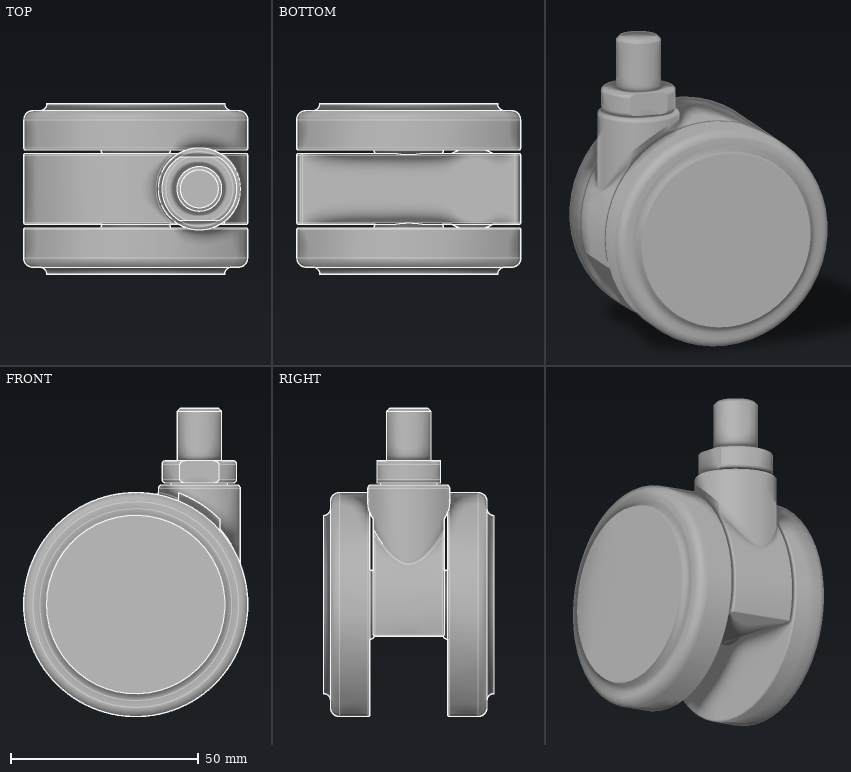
import cadquery as cq


wheel_diameter = 60.0
wheel_radius = wheel_diameter / 2
wheel_inner_y = 10.4
wheel_outer_y = 20.95
tread_round = 2.5
inner_edge_round = 0.5
disc_radius = 23.85
overall_width = 45.6
disc_face_y = overall_width / 2
disc_flare = 1.8

hair = 0.1

arc_mid_offset = 1 - 0.5 ** 0.5

housing_half_width = 9.5
housing_bottom_z = -8.5
housing_edge_round = 0.5
hub_radius = 9.3
hub_round = 1.3
swivel_x = 17.0
column_radius = 11.0
clearance_radius = 32.0
column_top_z = 32.0
column_top_round = 1.0
column_root_round = 0.5

neck_radius = 7.6
collar_radius = 10.0
collar_height = 6.0
collar_edge_round = 1.0
collar_across_flats = 17.0
stud_diameter = 12.0
stud_length = 14.0
stud_chamfer = 0.9
overall_height = 82.5
stem_top_z = overall_height - wheel_radius


def y_cylinder(radius, half_length):
    """Cylinder on the wheel axis, centred on Y = 0."""
    return cq.Workplane("XZ").circle(radius).extrude(half_length, both=True)


def make_wheel():
    """Wheel on the +Y side: tread with rounded shoulder and a flared raised disc."""
    flare_radius = disc_radius + disc_flare
    inner_mid = inner_edge_round * arc_mid_offset
    shoulder_mid = tread_round * arc_mid_offset
    flare_mid = disc_flare * arc_mid_offset
    profile = (
        cq.Workplane("XY")
        .moveTo(0, wheel_inner_y)
        .lineTo(wheel_radius - inner_edge_round, wheel_inner_y)
        .threePointArc(
            (wheel_radius - inner_mid, wheel_inner_y + inner_mid),
            (wheel_radius, wheel_inner_y + inner_edge_round),
        )
        .lineTo(wheel_radius, wheel_outer_y - tread_round)
        .threePointArc(
            (wheel_radius - shoulder_mid, wheel_outer_y - shoulder_mid),
            (wheel_radius - tread_round, wheel_outer_y),
        )
        .lineTo(flare_radius, wheel_outer_y)
        .threePointArc(
            (disc_radius + flare_mid, wheel_outer_y + flare_mid),
            (disc_radius, disc_face_y),
        )
        .lineTo(0, disc_face_y)
        .close()
    )
    return profile.revolve(360, (0, 0, 0), (0, 1, 0))


def make_drum():
    """Flat-bottomed drum between the wheels."""
    below_bottom = (
        cq.Workplane("XY", origin=(0, 0, housing_bottom_z))
        .rect(3 * wheel_radius, 3 * housing_half_width)
        .extrude(-wheel_radius)
    )
    return y_cylinder(wheel_radius, housing_half_width).cut(below_bottom)


def make_column():
    """Swivel column, narrowed to the drum's width where the wheels turn past it."""
    column = (
        cq.Workplane("XY", origin=(swivel_x, 0, 0))
        .circle(column_radius)
        .extrude(column_top_z)
        .faces(">Z")
        .edges()
        .fillet(column_top_round)
    )
    wheel_clearance = y_cylinder(clearance_radius, 2 * housing_half_width).cut(
        y_cylinder(clearance_radius, housing_half_width)
    )
    return column.cut(wheel_clearance)


def make_hub():
    """Hub on the +Y side, curving inward from the wheel face to its root inside the drum."""
    root_y = wheel_inner_y - hub_round
    hub_mid = hub_round * arc_mid_offset
    profile = (
        cq.Workplane("XY")
        .moveTo(0, root_y)
        .lineTo(hub_radius - hub_round, root_y)
        .threePointArc((hub_radius - hub_mid, root_y + hub_mid), (hub_radius, wheel_inner_y))
        .lineTo(0, wheel_inner_y)
        .close()
    )
    return profile.revolve(360, (0, 0, 0), (0, 1, 0))


def make_housing():
    """Drum with the swivel column blended into it, rounded edges and a hub on each side."""
    housing = make_drum().union(make_column())

    between_sides = cq.selectors.BoxSelector(
        (-wheel_radius, -housing_half_width + hair, housing_bottom_z),
        (wheel_radius, housing_half_width - hair, wheel_radius),
    )
    housing = housing.edges("%BSPLINE").edges(between_sides).fillet(column_root_round)

    rim_edges = housing.edges("%CIRCLE").edges(cq.selectors.RadiusNthSelector(-2))
    bottom_edges = housing.faces("<Z").edges()
    housing = rim_edges.add(bottom_edges).fillet(housing_edge_round)

    housing = housing.union(make_column())

    for turn in (0, 180):
        housing = housing.union(make_hub().rotate((0, 0, 0), (0, 0, 1), turn))
    return housing


def make_stem():
    """Neck, collar with two wrench flats, and a chamfered stud."""
    collar_top_z = stem_top_z - stud_length
    collar_bottom_z = collar_top_z - collar_height
    neck = (
        cq.Workplane("XY", origin=(swivel_x, 0, column_top_z))
        .circle(neck_radius)
        .extrude(collar_bottom_z - column_top_z)
    )
    collar = (
        cq.Workplane("XY", origin=(swivel_x, 0, collar_bottom_z))
        .circle(collar_radius)
        .extrude(collar_height)
        .edges()
        .fillet(collar_edge_round)
    )
    flats = (
        cq.Workplane("XY", origin=(swivel_x, 0, collar_bottom_z))
        .rect(3 * collar_radius, collar_across_flats)
        .extrude(collar_height)
    )
    stud = (
        cq.Workplane("XY", origin=(swivel_x, 0, collar_top_z))
        .circle(stud_diameter / 2)
        .extrude(stud_length)
        .faces(">Z")
        .edges()
        .chamfer(stud_chamfer)
    )
    return collar.intersect(flats).union(neck).union(stud)


housing = make_housing()
stem = make_stem()
wheels = []
for turn in (0, 180):
    wheels.append(make_wheel().rotate((0, 0, 0), (0, 0, 1), turn))

result = cq.Compound.makeCompound([housing.val(), stem.val(), *[wheel.val() for wheel in wheels]])